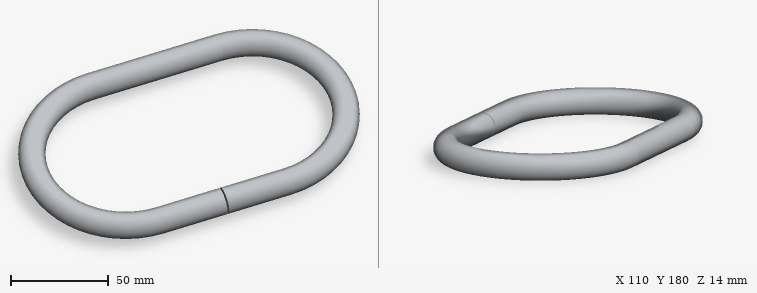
import cadquery as cq

wire_diameter = 14.0
outer_width = 110.0
outer_length = 180.0
gap_width = 1.0

wire_radius = wire_diameter / 2
bend_radius = (outer_width - wire_diameter) / 2
half_straight = (outer_length - outer_width) / 2
half_gap = gap_width / 2


def wire_centreline():
    """Open oval path, from one wire end round to the other."""
    return (
        cq.Workplane("XY")
        .moveTo(bend_radius, half_gap)
        .lineTo(bend_radius, half_straight)
        .threePointArc((0, half_straight + bend_radius), (-bend_radius, half_straight))
        .lineTo(-bend_radius, -half_straight)
        .threePointArc((0, -half_straight - bend_radius), (bend_radius, -half_straight))
        .lineTo(bend_radius, -half_gap)
    )


def bent_wire():
    """Round wire swept along the oval, leaving the joint open."""
    wire_end = cq.Workplane("XZ", origin=(bend_radius, half_gap, 0))
    return wire_end.circle(wire_radius).sweep(wire_centreline())


result = bent_wire()